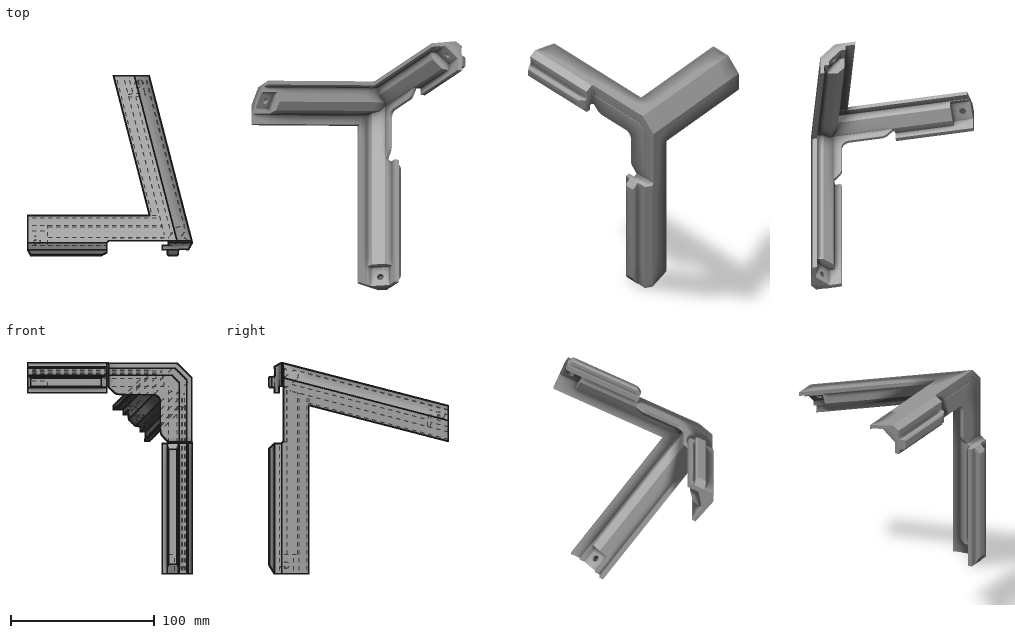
import cadquery as cq
import math


SPLAY = math.tan(math.radians(14.5))

X_LEG_LENGTH = 114.5
Z_LEG_LENGTH = 147.0
BACK_Y = 116.2
LEG_BACK_Y = 19.0
FLANGE_FRONT_Y = -5.0
FLANGE_BACK_Y = -1.8
RIB_FRONT_Y = -9.1
CORNER_FRONT_Y = 1.2
CORNER_BACK_Y = 3.4

PLATE_DEPTH = 3.0
PLATE_RELIEF = 0.3
LIP_WIDTH = 1.6
FLANGE_DEPTH = 21.0
FRONT_BEVEL = 2.8
CORE_DEPTH = 16.6
CORE_BACK_Y = 12.0
CORE_WALL = (10.9, -10.9)
CORE_SLOPE_Y = 3.7
SEAT_BACK_Y = 8.2
SEAT_FRONT_DEPTH = 12.6
SEAT_LENGTH = 13.5

ARM_WIDTH = 24.8
ARM_CORE = 18.1
ARM_CORE_SLOPE = 13.2
ARM_LEDGE = 6.2
ARM_SEAT = 14.5
OUTER_BEVEL = 10.3
ARM_SEAT_START = 7.5

HOLE_DIAMETER = 4.5
HOLE_DEPTH = 4.4
HOLE_END_DISTANCE = 6.3

RIB_TOP = 9.7
RIB_BOTTOM = 17.3
RIB_BEVEL = 1.0
GROOVE_TOP = 4.0
GROOVE_BOTTOM = 9.0
GROOVE_DEPTH = 0.3

X_FLANGE_START = 59.4
Z_FLANGE_START = 56.2
STEP_BEVEL = 1.2
CORNER_WIDTH = 22.2
CORNER_END_WIDTH = 17.2
CORNER_KNEE_RADIUS = 5.9
CORNER_INNER_RADIUS = 5.3
CORNER_END_BEVEL = 5.3
MARGIN = 29.4


def splayed(points, y_start, y_end):
    """Sweep an XZ section, given at Y = 0, along the splayed direction."""
    shift = -SPLAY * y_start
    corners = [cq.Vector(x + shift, y_start, z + shift) for x, z in points]
    length = y_end - y_start
    path = cq.Vector(-SPLAY * length, length, -SPLAY * length)
    wire = cq.Wire.makePolygon(corners, close=True)
    return cq.Workplane(obj=cq.Solid.extrudeLinear(wire, [], path))


def swap_xz(body):
    """Reflect a body so that its X and Z coordinates change places."""
    return body.mirror("YZ").rotate((0, 0, 0), (0, 1, 0), 90)


def along_x(points, x_start, x_end):
    """Extrude a YZ section between two X positions."""
    return cq.Workplane("YZ", origin=(x_start, 0, 0)).polyline(points).close().extrude(x_end - x_start)


def along_y(points, y_start, y_end):
    """Extrude an XZ section between two Y positions."""
    return cq.Workplane("XZ", origin=(0, y_start, 0)).polyline(points).close().extrude(y_start - y_end)


def hole(centre, direction):
    return cq.Workplane(obj=cq.Solid.makeCylinder(
        HOLE_DIAMETER / 2, HOLE_DEPTH, cq.Vector(*centre), cq.Vector(*direction)))


def underside(y):
    return -SPLAY * y - PLATE_DEPTH


def clip_rib(length, flange_start, start_taper, end_taper):
    """Front rib; each taper is (run along the leg, rise in Y)."""
    start_run, start_rise = start_taper
    end_run, end_rise = end_taper
    outline = [
        (-length, FLANGE_BACK_Y),
        (-length, RIB_FRONT_Y + end_rise),
        (-length + end_run, RIB_FRONT_Y),
        (-flange_start - start_run, RIB_FRONT_Y),
        (-flange_start, RIB_FRONT_Y + start_rise),
        (-flange_start, FLANGE_BACK_Y),
    ]
    rib = (cq.Workplane("XY", origin=(0, 0, -RIB_BOTTOM))
           .polyline(outline).close().extrude(RIB_BOTTOM - RIB_TOP))
    section = [
        (FLANGE_BACK_Y, -RIB_TOP),
        (RIB_FRONT_Y + RIB_BEVEL, -RIB_TOP),
        (RIB_FRONT_Y, -RIB_TOP - RIB_BEVEL),
        (RIB_FRONT_Y, -RIB_BOTTOM + RIB_BEVEL),
        (RIB_FRONT_Y + RIB_BEVEL, -RIB_BOTTOM),
        (FLANGE_BACK_Y, -RIB_BOTTOM),
    ]
    return rib.intersect(along_x(section, -length, -flange_start))


def leg(length, flange_start, start_taper, end_taper):
    """Leg lying along -X, with flange, core, screw seat and clip rib."""
    lip_y = LEG_BACK_Y - LIP_WIDTH
    section = [
        (0, 0),
        (LEG_BACK_Y, -SPLAY * LEG_BACK_Y),
        (LEG_BACK_Y, underside(LEG_BACK_Y)),
        (lip_y, underside(lip_y)),
        (lip_y, underside(lip_y) + PLATE_RELIEF),
        (CORE_BACK_Y, underside(CORE_BACK_Y) + PLATE_RELIEF),
        CORE_WALL,
        (CORE_SLOPE_Y, -CORE_DEPTH),
        (FLANGE_BACK_Y, -CORE_DEPTH),
        (FLANGE_BACK_Y, -FLANGE_DEPTH),
        (FLANGE_FRONT_Y, -FLANGE_DEPTH),
        (FLANGE_FRONT_Y, -GROOVE_BOTTOM),
        (FLANGE_FRONT_Y + GROOVE_DEPTH, -GROOVE_BOTTOM),
        (FLANGE_FRONT_Y + GROOVE_DEPTH, -GROOVE_TOP),
        (FLANGE_FRONT_Y, -GROOVE_TOP),
        (FLANGE_FRONT_Y, -FRONT_BEVEL),
    ]
    body = along_x(section, -length, 0)

    recess = [
        (-flange_start, FLANGE_FRONT_Y - MARGIN),
        (-flange_start, CORNER_FRONT_Y - STEP_BEVEL),
        (-flange_start + STEP_BEVEL, CORNER_FRONT_Y),
        (MARGIN, CORNER_FRONT_Y),
        (MARGIN, FLANGE_FRONT_Y - MARGIN),
    ]
    body = body.cut(cq.Workplane("XY").workplane(offset=-FLANGE_DEPTH - MARGIN)
                    .polyline(recess).close().extrude(FLANGE_DEPTH + 2 * MARGIN))

    seat_back = (SEAT_BACK_Y, underside(SEAT_BACK_Y))
    seat_front = (FLANGE_BACK_Y, -SEAT_FRONT_DEPTH)
    seat = [
        seat_back,
        seat_front,
        (FLANGE_BACK_Y, -CORE_DEPTH - MARGIN),
        (LEG_BACK_Y, -CORE_DEPTH - MARGIN),
        (LEG_BACK_Y, underside(LEG_BACK_Y)),
    ]
    body = body.cut(along_x(seat, -length, -length + SEAT_LENGTH))
    seat_run = seat_back[0] - seat_front[0]
    seat_rise = seat_back[1] - seat_front[1]
    centre = (-length + HOLE_END_DISTANCE,
              (seat_back[0] + seat_front[0]) / 2, (seat_back[1] + seat_front[1]) / 2)
    body = body.cut(hole(centre, (0, -seat_rise, seat_run)))
    return body.union(clip_rib(length, flange_start, start_taper, end_taper))


def splayed_leg():
    thickness = PLATE_DEPTH - PLATE_RELIEF
    section = [
        (-ARM_WIDTH, 0),
        (0, 0),
        (0, -ARM_WIDTH),
        (-thickness, -ARM_WIDTH),
        (-thickness, -ARM_CORE),
        (-ARM_CORE_SLOPE, -ARM_CORE),
        (-ARM_CORE, -ARM_CORE_SLOPE),
        (-ARM_CORE, -thickness),
        (-ARM_WIDTH, -thickness),
    ]
    body = splayed(section, CORNER_FRONT_Y, BACK_Y)

    lip = [
        (-ARM_WIDTH, 0),
        (-ARM_WIDTH + LIP_WIDTH, 0),
        (-ARM_WIDTH + LIP_WIDTH, -PLATE_DEPTH),
        (-ARM_WIDTH, -PLATE_DEPTH),
    ]
    upper_lip = splayed(lip, LEG_BACK_Y - LIP_WIDTH, BACK_Y)
    body = body.union(upper_lip).union(swap_xz(upper_lip))

    seat = [
        (-ARM_SEAT, -ARM_LEDGE),
        (-ARM_LEDGE, -ARM_SEAT),
        (-ARM_LEDGE, -ARM_WIDTH),
        (-ARM_WIDTH, -ARM_WIDTH),
        (-ARM_WIDTH, -ARM_LEDGE),
    ]
    wall_y = BACK_Y - ARM_SEAT_START
    wall_point = cq.Vector(-SPLAY * wall_y, wall_y, -SPLAY * wall_y)
    beyond_wall = cq.Workplane(obj=cq.Solid.makeCylinder(
        2 * ARM_WIDTH, MARGIN, wall_point, cq.Vector(-SPLAY, 1, -SPLAY)))
    body = body.cut(splayed(seat, BACK_Y - MARGIN, BACK_Y).intersect(beyond_wall))
    hole_y = BACK_Y - HOLE_END_DISTANCE
    hole_xz = -(ARM_SEAT + ARM_LEDGE) / 2 - SPLAY * hole_y
    return body.cut(hole((hole_xz, hole_y, hole_xz), (1, 2 * SPLAY, 1)))


def corner_plate():
    x_end = -X_FLANGE_START + STEP_BEVEL
    z_end = -Z_FLANGE_START + STEP_BEVEL
    outline = [
        (x_end, 0),
        (0, 0),
        (0, z_end),
        (-CORNER_END_WIDTH, z_end),
        (-CORNER_WIDTH, z_end + CORNER_END_BEVEL),
        (-CORNER_WIDTH, -CORNER_WIDTH),
        (x_end + CORNER_END_BEVEL, -CORNER_WIDTH),
        (x_end, -CORNER_END_WIDTH),
    ]
    plate = along_y(outline, CORNER_FRONT_Y, CORNER_BACK_Y)
    inner_edge = cq.selectors.NearestToPointSelector((-CORNER_WIDTH, CORNER_FRONT_Y, -CORNER_WIDTH))
    plate = plate.edges("|Y").edges(inner_edge).fillet(CORNER_INNER_RADIUS)
    knees = [(x_end + CORNER_END_BEVEL, -CORNER_WIDTH), (-CORNER_WIDTH, z_end + CORNER_END_BEVEL)]
    for x, z in knees:
        knee_edge = cq.selectors.NearestToPointSelector((x, CORNER_FRONT_Y, z))
        plate = plate.edges("|Y").edges(knee_edge).fillet(CORNER_KNEE_RADIUS)
    return plate


def bevelled_l(depth):
    """Region deeper than the given distance inside the bevelled outer corner."""
    bevel = OUTER_BEVEL - depth * (2 - math.sqrt(2))
    far = -Z_LEG_LENGTH - MARGIN
    return [
        (far, -depth),
        (-depth - bevel, -depth),
        (-depth, -depth - bevel),
        (-depth, far),
        (far, far),
    ]


def corner_groove():
    groove_back = CORNER_FRONT_Y + GROOVE_DEPTH
    band = along_y(bevelled_l(GROOVE_TOP), CORNER_FRONT_Y, groove_back)
    band = band.cut(along_y(bevelled_l(GROOVE_BOTTOM), CORNER_FRONT_Y, groove_back))
    x_end = -X_FLANGE_START + STEP_BEVEL
    z_end = -Z_FLANGE_START + STEP_BEVEL
    corner = [(x_end, 0), (0, 0), (0, z_end), (x_end, z_end)]
    return band.intersect(along_y(corner, CORNER_FRONT_Y, groove_back))


x_leg = leg(X_LEG_LENGTH, X_FLANGE_START, start_taper=(4.0, 2.4), end_taper=(2.2, 4.1))
z_leg = swap_xz(leg(Z_LEG_LENGTH, Z_FLANGE_START, start_taper=(4.1, 4.1), end_taper=(6.8, 4.1)))
envelope = splayed(bevelled_l(0), RIB_FRONT_Y - MARGIN, BACK_Y)
bracket = x_leg.union(z_leg).union(splayed_leg()).union(corner_plate())
result = bracket.intersect(envelope).cut(corner_groove())